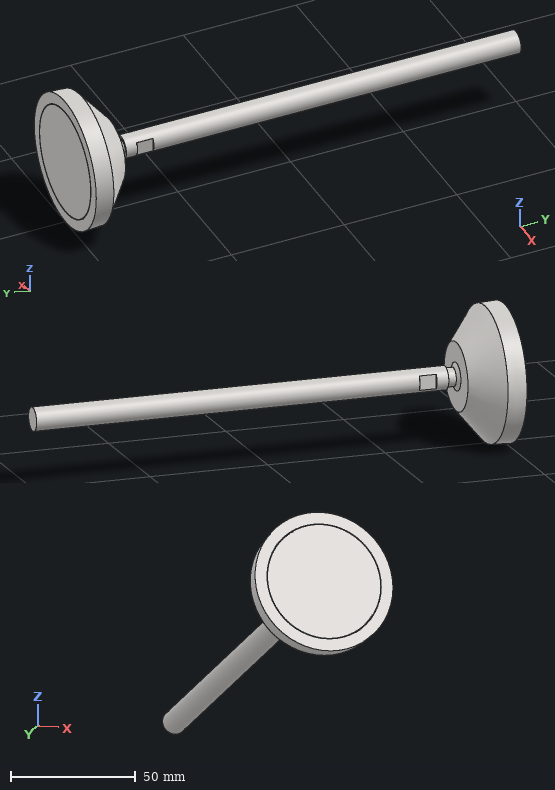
import cadquery as cq

TOTAL_LENGTH = 200.0

FACE_DIAMETER = 58.0
SHOULDER_DIAMETER = 57.2
CROWN_DIAMETER = 28.8
RIM_HEIGHT = 8.0
FOOT_HEIGHT = 20.0

RECESS_DIAMETER = 48.0
PAD_DIAMETER = 47.5
PAD_THICKNESS = 2.0

ROD_DIAMETER = 10.0
NECK_DIAMETER = 7.8
FLARE_DIAMETER = 11.8
FLARE_HEIGHT = 1.2
ROD_START = 24.8

FLAT_WIDTH = 8.0
FLAT_LENGTH = 7.2
FLAT_START = 29.8


def cylinder(diameter, start, end):
    """Solid cylinder along +Y between two heights."""
    plane = cq.Workplane("XZ", origin=(0, start, 0))
    return plane.circle(diameter / 2).extrude(start - end)


def make_foot_and_stem():
    """Foot and stem as one turned body, recessed for the pad."""
    flare_top = FOOT_HEIGHT + FLARE_HEIGHT
    profile = (
        cq.Workplane("XY")
        .moveTo(0, 0)
        .lineTo(FACE_DIAMETER / 2, 0)
        .lineTo(SHOULDER_DIAMETER / 2, RIM_HEIGHT)
        .lineTo(CROWN_DIAMETER / 2, FOOT_HEIGHT)
        .lineTo(FLARE_DIAMETER / 2, FOOT_HEIGHT)
        .lineTo(NECK_DIAMETER / 2, flare_top)
        .lineTo(NECK_DIAMETER / 2, ROD_START)
        .lineTo(ROD_DIAMETER / 2, ROD_START)
        .lineTo(ROD_DIAMETER / 2, TOTAL_LENGTH)
        .lineTo(0, TOTAL_LENGTH)
        .close()
    )
    body = profile.revolve(360, (0, 0, 0), (0, 1, 0))
    return cut_wrench_flats(body).cut(cylinder(RECESS_DIAMETER, 0, PAD_THICKNESS))


def cut_wrench_flats(body):
    """Trim the rod to two flats facing -X and +X."""
    flat_center = FLAT_START + FLAT_LENGTH / 2
    for side in (-1, 1):
        offset = side * (FLAT_WIDTH + ROD_DIAMETER) / 2
        cutter = cq.Workplane("XY").box(ROD_DIAMETER, FLAT_LENGTH, ROD_DIAMETER)
        body = body.cut(cutter.translate((offset, flat_center, 0)))
    return body


def make_pad():
    """Round pad seated in the recess, flush with the bearing face."""
    return cylinder(PAD_DIAMETER, 0, PAD_THICKNESS)


foot_and_stem = make_foot_and_stem()
pad = make_pad()

result = cq.Compound.makeCompound([foot_and_stem.val(), pad.val()])